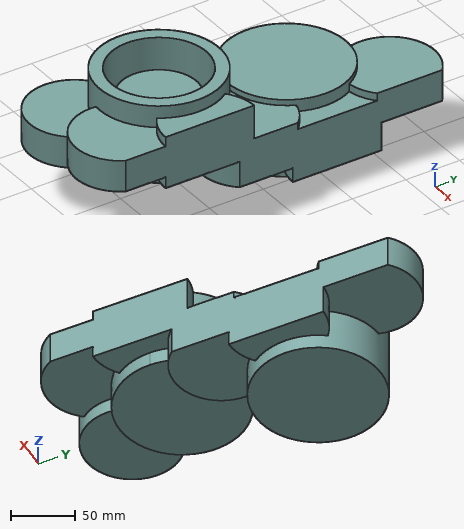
import cadquery as cq

WALL_X = 142.8
CUP_RADIUS = 55.0
CUP_HEIGHT = 71.2
CUP_X = 71.2
PETAL_RADIUS = 41.5
PETAL_THICKNESS = 28.5
WALL_DISC_THICKNESS = 47.3
WALL_DISC_RISE = 12.8

UPPER_CUP_Y = 100.5
UPPER_CUP_Z = 36.5
POCKET_RADIUS = 43.5
CUP_WALL = CUP_RADIUS - POCKET_RADIUS
POCKET_FLOOR_Z = UPPER_CUP_Z + CUP_WALL
PLUG_RADIUS = 34.5
PLUG_SINK = 24.0
PLUG_HEIGHT = CUP_HEIGHT - CUP_WALL - PLUG_SINK

LOWER_CUP_Y = 219.2
LOWER_CUP_Z = 0.0

LEFT_PETAL_X = PETAL_RADIUS
LEFT_PETAL_Z = 46.5
RIGHT_PETAL_X = 106.5
RIGHT_PETAL_Z = 59.5

LENGTH = 328.2
END_PETAL_X = 114.5
END_PETAL_Z = 38.5
MIDDLE_PETAL_X = 111.5
MIDDLE_PETAL_Y = 155.2
MIDDLE_PETAL_Z = 25.5
MIDDLE_PETAL_THICKNESS = 40.5


def disc(x, y, z, radius, thickness):
    """Upright cylinder with its bottom centre at (x, y, z)."""
    return cq.Workplane("XY", origin=(x, y, z)).circle(radius).extrude(thickness)


def trim_at_wall(body):
    """Remove everything beyond the flat mounting plane."""
    beyond = cq.Workplane("XY").box(LENGTH, 2 * LENGTH, LENGTH, centered=(False, True, True))
    return body.cut(beyond.translate((WALL_X, LENGTH / 2, 0)))


def cup_with_wall_disc(y, z):
    """Cup joined to a half disc centred on the mounting plane."""
    cup = disc(CUP_X, y, z, CUP_RADIUS, CUP_HEIGHT)
    wall_disc = disc(WALL_X, y, z + WALL_DISC_RISE, PETAL_RADIUS, WALL_DISC_THICKNESS)
    return cup.union(wall_disc)


def make_upper_cluster():
    """Open cup with its wall disc and two petals."""
    cluster = cup_with_wall_disc(UPPER_CUP_Y, UPPER_CUP_Z)
    for x, z in ((LEFT_PETAL_X, LEFT_PETAL_Z), (RIGHT_PETAL_X, RIGHT_PETAL_Z)):
        cluster = cluster.union(disc(x, PETAL_RADIUS, z, PETAL_RADIUS, PETAL_THICKNESS))
    return cluster


def make_lower_cluster():
    """Closed cup with its wall disc, the end petal and the petal that links the cups."""
    cluster = cup_with_wall_disc(LOWER_CUP_Y, LOWER_CUP_Z)
    end_petal_y = LENGTH - PETAL_RADIUS
    end_petal = disc(END_PETAL_X, end_petal_y, END_PETAL_Z, PETAL_RADIUS, PETAL_THICKNESS)
    middle_petal = disc(
        MIDDLE_PETAL_X, MIDDLE_PETAL_Y, MIDDLE_PETAL_Z, PETAL_RADIUS, MIDDLE_PETAL_THICKNESS
    )
    return cluster.union(end_petal).union(middle_petal)


def make_holder():
    """Both clusters as one solid, flat at the wall, with the pocket in the upper cup."""
    pocket = disc(CUP_X, UPPER_CUP_Y, POCKET_FLOOR_Z, POCKET_RADIUS, CUP_HEIGHT)
    return trim_at_wall(make_upper_cluster().union(make_lower_cluster())).cut(pocket)


def make_plug():
    """Round plug standing on the pocket floor."""
    return disc(CUP_X, UPPER_CUP_Y, POCKET_FLOOR_Z, PLUG_RADIUS, PLUG_HEIGHT)


holder = make_holder()
plug = make_plug()

result = cq.Compound.makeCompound([holder.val(), plug.val()])